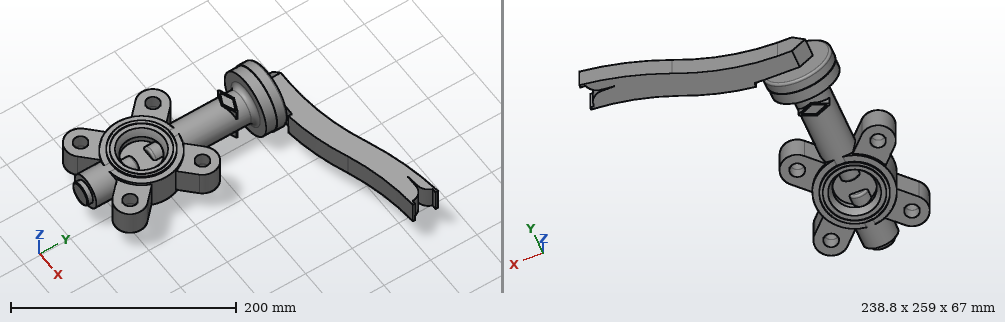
import cadquery as cq
import math


ring_radius = 37.5
ring_half_height = 16.5
rim_radius = 31.4
rim_half_height = 18.5
recess_radius = 28.3
recess_depth = 0.9
bore_mouth_radius = 23.5
bore_throat_radius = 19.7
throat_half_height = 9.5
mouth_bulge = 0.4

lug_offset = 39.0
lug_radius = 15.8
lug_hole_radius = 7.0
lug_half_height = 13.7

tube_radius = 17.0
tube_bottom = -60.1
cap_radius = 11.7
cap_bottom = -66.0
cap_chamfer = 0.8
head_bottom = 111.7
head_fillet = 5.7
head_radius = 32.7
plate_radius = 33.5
plate_bottom = 123.0
plate_top = 134.5
plate_fillet = 2.3

disc_half_thickness = 3.5
shaft_radius = 9.5
shaft_end_offset = 7.5
shaft_end_fillet = 2.3

badge_centre = 92.8
badge_half_length = 14.8
badge_half_width = 6.7
badge_tip_half_width = 0.8
badge_top = rim_half_height
badge_recess_depth = 0.9
badge_recess_half_length = 12.2
badge_recess_half_width = 5.5

lever_half_thickness = 12.2
nose_tip_x = -16.3
nose_shoulder_x = -3.5
lever_back_y = 152.5
lever_end_x = 184.0

back_straight_end = (10.4, lever_back_y)
back_hollow_middle = (57.0, 157.5)
back_inflection = (103.7, 172.4)
back_crown_middle = (142.5, 185.3)
back_end = (lever_end_x, 193.0)

under_end = (lever_end_x, 166.0)
under_crown_middle = (145.2, 160.5)
under_inflection = (107.0, 148.8)
under_hollow_middle = (75.2, 137.6)
heel = (40.0, 130.6)

upper_tab_root = (179.4, 190.3)
upper_prong_middle = (174.7, 183.8)
upper_slit_mouth = (167.2, 181.2)
slit_end = (155.8, 180.0)
lower_slit_mouth = (168.0, slit_end[1])
lower_prong_middle = (176.8, 176.5)
lower_tab_root = (180.5, 168.2)


def y_cylinder(radius, start, end):
    """Cylinder along the stem axis between two Y positions."""
    return cq.Workplane("XZ", origin=(0, start, 0)).circle(radius).extrude(start - end)


def z_cylinder(radius, half_height):
    """Cylinder along the bore axis, centred on the origin."""
    return cq.Workplane("XY").circle(radius).extrude(half_height, both=True)


def lug(x_side, y_side):
    """Diagonal arm from the bore axis to a rounded end."""
    x = x_side * lug_offset
    y = y_side * lug_offset
    reach = math.hypot(x, y)
    direction = math.degrees(math.atan2(y, x))
    arm = (
        cq.Workplane("XY")
        .center(reach / 2, 0)
        .rect(reach, 2 * lug_radius)
        .extrude(lug_half_height, both=True)
        .rotate((0, 0, 0), (0, 0, 1), direction)
    )
    return arm.union(z_cylinder(lug_radius, lug_half_height).translate((x, y, 0)))


def stem():
    """Tube with an end cap, and a head carrying a slightly wider plate."""
    tube = y_cylinder(tube_radius, tube_bottom, head_bottom)
    head = y_cylinder(head_radius, head_bottom, plate_bottom)
    plate = y_cylinder(plate_radius, plate_bottom, plate_top).faces(">Y").edges().fillet(plate_fillet)
    cap = y_cylinder(cap_radius, cap_bottom, tube_bottom).faces("<Y").chamfer(cap_chamfer)
    neck = (
        cq.Workplane("XY")
        .moveTo(0, head_bottom - head_fillet)
        .lineTo(tube_radius, head_bottom - head_fillet)
        .radiusArc((tube_radius + head_fillet, head_bottom), head_fillet)
        .lineTo(0, head_bottom)
        .close()
        .revolve(360, (0, 0, 0), (0, 1, 0))
    )
    return tube.union(head).union(plate).union(cap).union(neck)


def badge():
    """Raised diamond with blunt tips and a shallow recess in its top."""
    diamond = (
        cq.Workplane("XY")
        .polyline([
            (badge_half_length, badge_tip_half_width),
            (0, badge_half_width),
            (-badge_half_length, badge_tip_half_width),
            (-badge_half_length, -badge_tip_half_width),
            (0, -badge_half_width),
            (badge_half_length, -badge_tip_half_width),
        ])
        .close()
        .extrude(badge_top)
    )
    recess = (
        cq.Workplane("XY", origin=(0, 0, badge_top - badge_recess_depth))
        .polyline([
            (badge_recess_half_length, 0),
            (0, badge_recess_half_width),
            (-badge_recess_half_length, 0),
            (0, -badge_recess_half_width),
        ])
        .close()
        .extrude(badge_recess_depth)
    )
    return diamond.cut(recess).translate((0, badge_centre, 0))


def bore():
    """Straight throat that opens through a bulged mouth into a shallow recess at each end."""
    floor = rim_half_height - recess_depth
    middle_radius = (bore_mouth_radius + bore_throat_radius) / 2 - mouth_bulge
    middle_height = (floor + throat_half_height) / 2
    return (
        cq.Workplane("XZ")
        .moveTo(0, -rim_half_height)
        .lineTo(recess_radius, -rim_half_height)
        .lineTo(recess_radius, -floor)
        .lineTo(bore_mouth_radius, -floor)
        .threePointArc((middle_radius, -middle_height), (bore_throat_radius, -throat_half_height))
        .lineTo(bore_throat_radius, throat_half_height)
        .threePointArc((middle_radius, middle_height), (bore_mouth_radius, floor))
        .lineTo(recess_radius, floor)
        .lineTo(recess_radius, rim_half_height)
        .lineTo(0, rim_half_height)
        .close()
        .revolve(360, (0, 0, 0), (0, 1, 0))
    )


def shaft_end():
    """Round-edged shaft end reaching from the ring towards the middle of the bore."""
    return (
        y_cylinder(shaft_radius, shaft_end_offset, recess_radius)
        .faces("<Y")
        .edges()
        .fillet(shaft_end_fillet)
    )


def make_valve():
    """Valve body: ring, lugs, stem and the closed disc, in one piece."""
    valve = z_cylinder(ring_radius, ring_half_height).union(z_cylinder(rim_radius, rim_half_height))
    for x_side in (-1, 1):
        for y_side in (-1, 1):
            valve = valve.union(lug(x_side, y_side))
    valve = valve.union(stem())
    top_badge = badge()
    valve = valve.union(top_badge).union(top_badge.mirror("XY"))
    valve = valve.cut(bore())
    valve = valve.union(z_cylinder(bore_throat_radius, disc_half_thickness))
    upper_end = shaft_end()
    valve = valve.union(upper_end).union(upper_end.mirror("XZ"))
    lug_holes = (
        cq.Workplane("XY")
        .rect(2 * lug_offset, 2 * lug_offset, forConstruction=True)
        .vertices()
        .circle(lug_hole_radius)
        .extrude(lug_half_height, both=True)
    )
    return valve.cut(lug_holes)


def make_lever():
    """S-curved handle with a forked end and a pointed nose, resting on the head plate."""
    handle = (
        cq.Workplane("XY")
        .moveTo(nose_tip_x, plate_top)
        .lineTo(nose_tip_x, lever_back_y)
        .lineTo(*back_straight_end)
        .threePointArc(back_hollow_middle, back_inflection)
        .threePointArc(back_crown_middle, back_end)
        .lineTo(lever_end_x, upper_tab_root[1])
        .lineTo(*upper_tab_root)
        .threePointArc(upper_prong_middle, upper_slit_mouth)
        .lineTo(*slit_end)
        .lineTo(*lower_slit_mouth)
        .threePointArc(lower_prong_middle, lower_tab_root)
        .lineTo(lever_end_x, lower_tab_root[1])
        .lineTo(*under_end)
        .threePointArc(under_crown_middle, under_inflection)
        .threePointArc(under_hollow_middle, heel)
        .lineTo(heel[0], plate_top)
        .close()
        .extrude(lever_half_thickness, both=True)
    )
    pointed_outline = (
        cq.Workplane("XZ", origin=(0, heel[1], 0))
        .polyline([
            (nose_tip_x, 0),
            (nose_shoulder_x, lever_half_thickness),
            (lever_end_x, lever_half_thickness),
            (lever_end_x, -lever_half_thickness),
            (nose_shoulder_x, -lever_half_thickness),
        ])
        .close()
        .extrude(heel[1] - back_end[1])
    )
    return handle.intersect(pointed_outline)


valve_body = make_valve()
lever = make_lever()

result = cq.Compound.makeCompound([valve_body.solids().val(), lever.solids().val()])